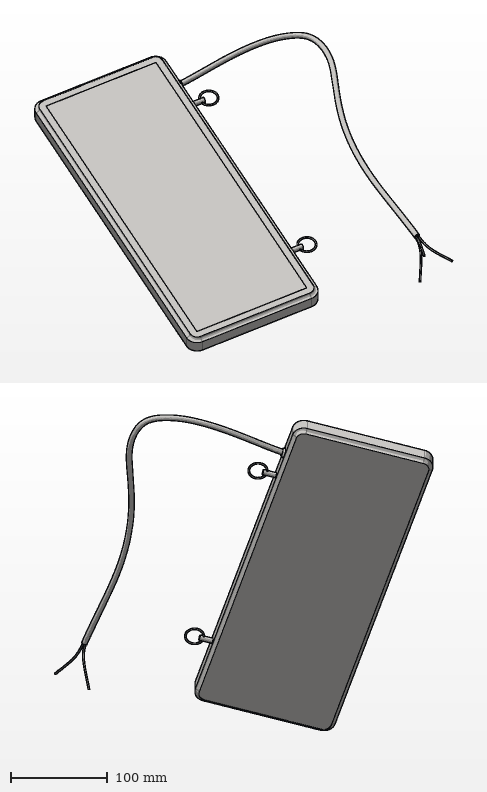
import cadquery as cq

housing_length = 363.0
housing_width = 151.0
housing_height = 22.0
corner_radius = 12.0
cove_radius = 4.0
housing_top = housing_height / 2
housing_back = housing_width / 2

panel_inset = 11.8
panel_depth = 0.5

hook_spacing = 220.7
stem_diameter = 5.7
stem_length = 13.7
ring_radius = 9.5
ring_wire_radius = 0.95
ring_offset = 19.0

cable_diameter = 6.0
cable_start_x = -140.0
cable_root_depth = 2.0
cable_bends = [
    (-146.5, 118.5),
    (-151.5, 169.5),
    (-146.5, 206.0),
    (-136.3, 223.5),
    (-114.0, 230.5),
    (-66.2, 219.0),
    (-19.0, 203.2),
    (46.5, 195.0),
    (101.0, 197.0),
]
cable_end = (152.5, 200.5)
grommet_base_diameter = 11.0
grommet_top_diameter = 8.8
grommet_height = 2.3

wire_diameter = 2.0
wire_overlap = 2.3
wire_spread = 1.0
wires = [
    ((wire_spread, 0), (173.5, 205.0, 0), (198.5, 217.7, 0)),
    ((-wire_spread, wire_spread), (172.5, 195.5, 5.5), (194.0, 187.5, 20.5)),
    ((-wire_spread, -wire_spread), (172.5, 195.0, -4.5), (194.0, 182.5, -19.0)),
]


def round_rod(path, diameter):
    """Round rod whose axis follows the path."""
    start_plane = cq.Plane(origin=path.positionAt(0), normal=path.tangentAt(0))
    return cq.Workplane(start_plane).circle(diameter / 2).sweep(cq.Workplane(path))


def smooth_curve(points, tangents=None):
    return cq.Edge.makeSpline([cq.Vector(*point) for point in points], tangents=tangents)


def make_housing():
    """Rounded block with concave coves around both faces and a sunk display panel."""
    blank = (
        cq.Workplane("XY")
        .box(housing_length, housing_width, housing_height)
        .edges("|Z")
        .fillet(corner_radius)
    )
    housing = blank
    for face in (">Z", "<Z"):
        rim = blank.faces(face).wires().val()
        housing = housing.cut(round_rod(rim, 2 * cove_radius))
    panel_recess = (
        cq.Workplane("XY", origin=(0, 0, housing_top - panel_depth))
        .rect(housing_length - 2 * panel_inset, housing_width - 2 * panel_inset)
        .extrude(panel_depth)
    )
    return housing.cut(panel_recess)


def make_hook(x):
    """Stem standing out of the back side with a flat-lying ring through its end."""
    stem = (
        cq.Workplane("XZ", origin=(x, housing_back, 0))
        .circle(stem_diameter / 2)
        .extrude(-stem_length)
    )
    ring_centre = cq.Vector(x, housing_back + ring_offset, 0)
    ring = cq.Solid.makeTorus(ring_radius, ring_wire_radius, ring_centre)
    return stem.union(cq.Workplane(ring))


def make_cable():
    """Cable rising out of a tapered grommet and bending in the middle plane."""
    grommet = (
        cq.Workplane("XZ", origin=(cable_start_x, housing_back, 0))
        .circle(grommet_base_diameter / 2)
        .workplane(offset=-grommet_height)
        .circle(grommet_top_diameter / 2)
        .loft()
    )
    root = (cable_start_x, housing_back - cable_root_depth)
    cord = round_rod(smooth_curve([root, *cable_bends, cable_end]), cable_diameter)
    return grommet.union(cord)


def make_wire(start_offset, middle, tip):
    """Wire leaving the cable end along X and curving to its tip."""
    offset_y, offset_z = start_offset
    end_x, end_y = cable_end
    start = (end_x - wire_overlap, end_y + offset_y, offset_z)
    start_tangent = cq.Vector(1, 0, 0)
    tip_tangent = cq.Vector(*tip) - cq.Vector(*middle)
    return round_rod(smooth_curve([start, middle, tip], [start_tangent, tip_tangent]), wire_diameter)


result = make_housing()
for hook_x in (-hook_spacing / 2, hook_spacing / 2):
    result = result.union(make_hook(hook_x))
result = result.union(make_cable())
for wire in wires:
    result = result.union(make_wire(*wire))